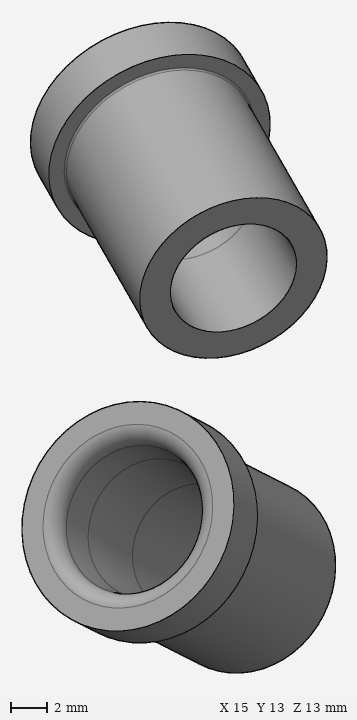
import math

import cadquery as cq

length = 15.0
head_diameter = 13.0
head_length = 3.0
body_diameter = 11.0
neck_fillet = 0.1

bore_diameter = 7.4
mouth_diameter = 10.4
mouth_radius = 1.0
lead_in_angle = math.radians(6)
lead_in_depth = 3.17


def turned_blank():
    """Stepped outside of the bush, with the inner corner under the head rounded."""
    head_radius = head_diameter / 2
    body_radius = body_diameter / 2
    fillet_centre_x = head_length + neck_fillet
    fillet_centre_radius = body_radius + neck_fillet
    diagonal = neck_fillet * math.sqrt(0.5)
    profile = (
        cq.Workplane("XZ")
        .lineTo(0, head_radius)
        .lineTo(head_length, head_radius)
        .lineTo(head_length, fillet_centre_radius)
        .threePointArc(
            (fillet_centre_x - diagonal, fillet_centre_radius - diagonal),
            (fillet_centre_x, body_radius),
        )
        .lineTo(length, body_radius)
        .lineTo(length, 0)
        .close()
    )
    return profile.revolve(360, (0, 0, 0), (1, 0, 0))


def mouth_point(slope):
    """Point (X, radius) on the mouth rounding where its tangent makes this angle with the axis."""
    depth = mouth_radius * (1 - math.sin(slope))
    radius = mouth_diameter / 2 - mouth_radius * math.cos(slope)
    return depth, radius


def bore():
    """Solid that fills the through bore; its cone is tangent to the arcs at both ends."""
    face_slope = math.pi / 2
    cone_start = mouth_point(lead_in_angle)
    cone_drop = (lead_in_depth - cone_start[0]) * math.tan(lead_in_angle)
    cone_end_radius = cone_start[1] - cone_drop

    bore_radius = bore_diameter / 2
    easing_radius = (cone_end_radius - bore_radius) / (1 - math.cos(lead_in_angle))
    easing_end = lead_in_depth + easing_radius * math.sin(lead_in_angle)

    def easing_point(slope):
        depth = easing_end - easing_radius * math.sin(slope)
        radius = bore_radius + easing_radius * (1 - math.cos(slope))
        return depth, radius

    profile = (
        cq.Workplane("XZ")
        .lineTo(*mouth_point(face_slope))
        .threePointArc(mouth_point((face_slope + lead_in_angle) / 2), cone_start)
        .lineTo(lead_in_depth, cone_end_radius)
        .threePointArc(easing_point(lead_in_angle / 2), easing_point(0))
        .lineTo(length, bore_radius)
        .lineTo(length, 0)
        .close()
    )
    return profile.revolve(360, (0, 0, 0), (1, 0, 0))


result = turned_blank().cut(bore())